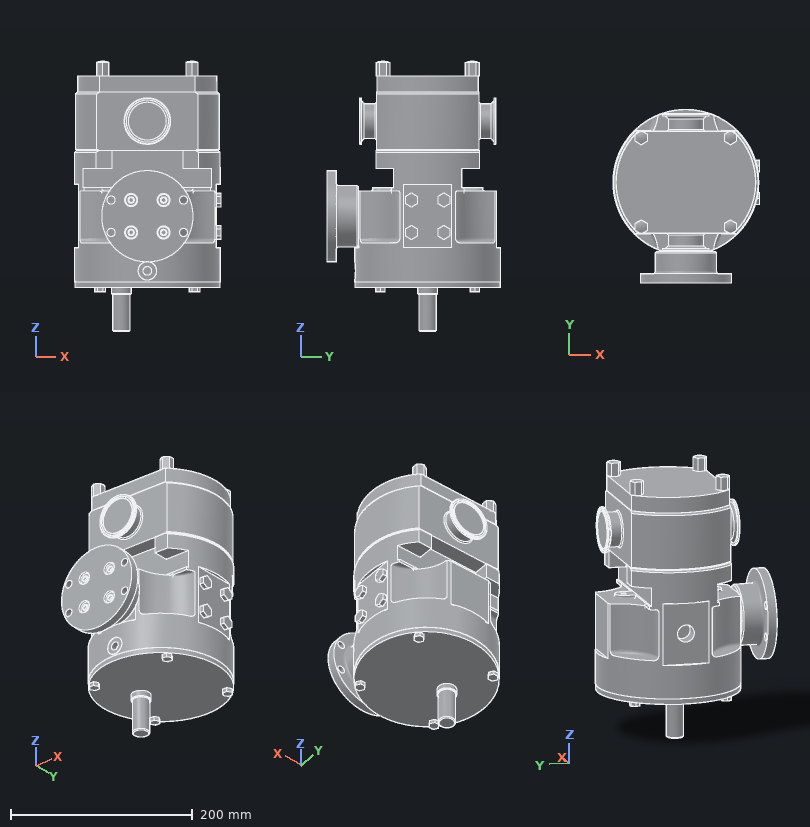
import cadquery as cq
import math

BODY_R = 80.5
PLATE_R = 80.0
HOUSING_R = 79.5
COVER_R = 76.8

PLATE_TOP = 6.3
BASE_TOP = 44.0
BODY_TOP = 106.5
LEDGE_TOP = 110.2
SIDE_FLAT_TOP = 113.7
BAND_BOTTOM = 131.0
BAND_TOP = 151.0
GROOVE_TOP = 152.0
HOUSING_TOP = 215.5
COVER_TOP = 233.0
NUT_TOP = 249.5
BAND_CHAMFER = 2.0
HOUSING_CHAMFER = 2.5
GROOVE_R = BODY_R - BAND_CHAMFER

FLAT_HALF = 76.0
BAND_HALF = 57.2
HOUSING_HALF = 56.5
COVER_HALF = 56.0
NECK_HALF = 37.8
LEDGE_HALF = 40.0
LEDGE_FOOT_FILLET = 1.8
WINDOW_HALF = 39.0

POCKET_CENTER = 79.0
POCKET_R = 48.5
POCKET_FLOOR = 49.0
POCKET_FILLET = 5.5
POCKET_CEILING_FILLET = 2.5

PAD_Y = 51.0
PAD_R = 9.8
PAD_HOLE_R = 3.0
PAD_HOLE_DEPTH = 6.0

SIDE_Z = 78.5
SIDE_BOLT_OFFSET = 18.0
SIDE_BOLT_FLATS = 13.5
SIDE_BOLT_HEIGHT = 5.5
SIDE_HOLE_R = 9.5
SIDE_HOLE_DEPTH = 18.0

HUB_R = 34.0
HUB_CHAMFER = 1.8
FLANGE_R = 50.3
FLANGE_FACE = 111.0
FLANGE_THICKNESS = 10.5
HUB_FILLET = 2.7
FLANGE_HOLE_R = 4.5
FLANGE_HOLE_X = 40.0
SCREW_BORE_R = 7.0
SCREW_BORE_DEPTH = 7.5
SCREW_HEAD_R = 6.3
SCREW_HEAD_HEIGHT = 5.7
SOCKET_R = 2.7
SOCKET_CHAMFER = 1.0
SOCKET_DEPTH = 3.5

PORT_Z = 183.5
PORT_NECK_R = 19.5
PORT_RIM_R = 25.5
PORT_FACE = 75.3
PORT_RIM_THICKNESS = 2.5
PORT_RIM_CHAMFER = 0.5
PORT_TAPER = 3.0
PORT_TAPER_R = 22.5
PORT_WELD = 1.5
SEAL_GROOVE_R = 23.2
SEAL_GROOVE_INNER_R = 20.8
SEAL_GROOVE_DEPTH = 1.0

DRAIN_Z = 18.5
DRAIN_SPOT_R = 10.0
DRAIN_SPOT_DEPTH = 0.75
DRAIN_HOLE_R = 4.8
DRAIN_HOLE_DEPTH = 9.0

SHAFT_X = -28.5
SHAFT_R = 9.68
SHAFT_END = -48.2
SHAFT_CHAMFER = 1.2
COLLAR_R = 11.0
COLLAR_LENGTH = 7.5
COLLAR_CHAMFER = 1.0

NUT_OFFSET = 49.0
NUT_FLATS = 13.5
NUT_DOME_R = 18.0
BASE_BOLT_OFFSET = 52.0
BASE_BOLT_FLATS = 10.5
BASE_BOLT_HEIGHT = 4.8

MARGIN = 0.3
CLEARANCE = 3.0
REACH = 119.0


def disc(radius, bottom, top):
    return cq.Workplane("XY").workplane(offset=bottom).circle(radius).extrude(top - bottom)


def slab(half_x, half_y, bottom, top):
    block = cq.Workplane("XY").workplane(offset=bottom)
    return block.rect(2 * half_x, 2 * half_y).extrude(top - bottom)


def hexagon(flats, bottom, top, turn=0):
    """Hexagonal prism on the Z axis, corners along X when turn is zero."""
    corners = flats / math.cos(math.pi / 6)
    prism = cq.Workplane("XY").workplane(offset=bottom).polygon(6, corners).extrude(top - bottom)
    return prism.rotate((0, 0, 0), (0, 0, 1), turn)


def facing_front(shape, height):
    """Move a shape built along +Z so that it points along -Y at the given height."""
    return shape.rotate((0, 0, 0), (1, 0, 0), 90).translate((0, 0, height))


def four_corners(offset):
    """Corner points of a square centred on the origin, half a side away from each axis."""
    return [(sx * offset, sy * offset) for sx in (-1, 1) for sy in (-1, 1)]


def corner_pocket(sx, sy):
    """Vertical scallop, closed by a rounded ceiling under the ledge and open above elsewhere."""
    closed = disc(POCKET_R, POCKET_FLOOR, BODY_TOP).faces("<Z").edges().fillet(POCKET_FILLET)
    closed = closed.faces(">Z").edges().fillet(POCKET_CEILING_FILLET)
    place = (sx * POCKET_CENTER, sy * POCKET_CENTER, 0)
    upper = disc(POCKET_R, BODY_TOP - POCKET_CEILING_FILLET, LEDGE_TOP).translate(place)
    under_ledge = slab(REACH, LEDGE_HALF, POCKET_FLOOR, LEDGE_TOP)
    return closed.translate(place).union(upper.cut(under_ledge))


def ledge():
    """Step around the neck foot with a lubrication pad on each side, blended into the body top."""
    step = slab(REACH, LEDGE_HALF, BODY_TOP, LEDGE_TOP)
    for side in (-1, 1):
        pad = disc(PAD_R, BODY_TOP, LEDGE_TOP).translate((0, side * PAD_Y, 0))
        web = slab(PAD_R, PAD_Y / 2, BODY_TOP, LEDGE_TOP).translate((0, side * PAD_Y / 2, 0))
        step = step.union(pad).union(web)
    step = step.union(slab(REACH, REACH, BASE_TOP, BODY_TOP))

    box_x = REACH - CLEARANCE
    box_y = PAD_Y + PAD_R
    foot_edges = cq.selectors.BoxSelector(
        (-box_x, -box_y, BODY_TOP - MARGIN),
        (box_x, box_y, BODY_TOP + MARGIN))
    step = step.edges(foot_edges).fillet(LEDGE_FOOT_FILLET)
    return step.intersect(disc(BODY_R, BASE_TOP, LEDGE_TOP))


def gearbox():
    lower = disc(PLATE_R, 0, PLATE_TOP).union(disc(BODY_R, PLATE_TOP, BASE_TOP)).union(ledge())
    flange_flats = disc(BODY_R + CLEARANCE, BASE_TOP, BODY_TOP)
    flange_flats = flange_flats.cut(slab(REACH, FLAT_HALF, BASE_TOP, BODY_TOP))
    lower = lower.cut(flange_flats)
    for sx, sy in four_corners(1):
        lower = lower.cut(corner_pocket(sx, sy))

    neck = disc(BODY_R, BODY_TOP, BAND_BOTTOM).intersect(slab(REACH, NECK_HALF, BODY_TOP, BAND_BOTTOM))
    pad_holes = cq.Workplane("XY").workplane(offset=LEDGE_TOP)
    pad_holes = pad_holes.pushPoints([(0, -PAD_Y), (0, PAD_Y)]).circle(PAD_HOLE_R).extrude(-PAD_HOLE_DEPTH)
    body = lower.union(neck).cut(pad_holes)

    side_flats = disc(BODY_R + CLEARANCE, BASE_TOP, SIDE_FLAT_TOP)
    side_flats = side_flats.cut(slab(FLAT_HALF, REACH, BASE_TOP, SIDE_FLAT_TOP))
    side_hole = cq.Workplane("YZ").workplane(offset=-FLAT_HALF).center(0, SIDE_Z)
    side_hole = side_hole.circle(SIDE_HOLE_R).extrude(SIDE_HOLE_DEPTH)
    return body.cut(side_flats).cut(side_hole)


def head():
    band = disc(BODY_R, BAND_BOTTOM, BAND_TOP).faces(">Z").edges().chamfer(BAND_CHAMFER)
    band = band.intersect(slab(REACH, BAND_HALF, BAND_BOTTOM, BAND_TOP))
    window = slab(WINDOW_HALF, REACH, BAND_BOTTOM, BAND_TOP)
    window = window.cut(slab(REACH, NECK_HALF, BAND_BOTTOM, BAND_TOP))
    band = band.cut(window)

    housing = disc(GROOVE_R, BAND_TOP, GROOVE_TOP)
    barrel = disc(HOUSING_R, GROOVE_TOP, HOUSING_TOP)
    housing = housing.union(barrel.faces(">Z").edges().chamfer(HOUSING_CHAMFER))
    housing = housing.intersect(slab(REACH, HOUSING_HALF, BAND_TOP, HOUSING_TOP))

    cover = disc(COVER_R, HOUSING_TOP, COVER_TOP)
    cover = cover.intersect(slab(REACH, COVER_HALF, HOUSING_TOP, COVER_TOP))
    return band.union(housing).union(cover)


def port():
    """Clamp ferrule along +Z from the axis of the head, with a seal groove in its closed face."""
    taper_end = PORT_FACE - PORT_RIM_THICKNESS
    taper_start = taper_end - PORT_TAPER
    profile = [
        (0, 0),
        (PORT_NECK_R + PORT_WELD, 0),
        (PORT_NECK_R + PORT_WELD, HOUSING_HALF),
        (PORT_NECK_R, HOUSING_HALF + PORT_WELD),
        (PORT_NECK_R, taper_start),
        (PORT_TAPER_R, taper_end),
        (PORT_RIM_R, taper_end),
        (PORT_RIM_R, PORT_FACE - PORT_RIM_CHAMFER),
        (PORT_RIM_R - PORT_RIM_CHAMFER, PORT_FACE),
        (0, PORT_FACE),
    ]
    ferrule = cq.Workplane("XZ").polyline(profile).close().revolve(360, (0, 0, 0), (0, 1, 0))
    groove = cq.Workplane("XY").workplane(offset=PORT_FACE)
    groove = groove.circle(SEAL_GROOVE_R).circle(SEAL_GROOVE_INNER_R).extrude(-SEAL_GROOVE_DEPTH)
    return ferrule.cut(groove)


def mounting_flange():
    back = FLANGE_FACE - FLANGE_THICKNESS
    hub = disc(HUB_R, FLAT_HALF, back).faces("<Z").edges().chamfer(HUB_CHAMFER)
    flange = hub.union(disc(FLANGE_R, back, FLANGE_FACE))
    hub_edges = flange.edges(cq.selectors.RadiusNthSelector(1))
    flange = hub_edges.edges(">Z").fillet(HUB_FILLET)

    bolts = four_corners(SIDE_BOLT_OFFSET)
    through = [(sx * FLANGE_HOLE_X, sy * SIDE_BOLT_OFFSET) for sx, sy in four_corners(1)]
    face = cq.Workplane("XY").workplane(offset=FLANGE_FACE)
    flange = flange.cut(face.pushPoints(through).circle(FLANGE_HOLE_R).extrude(-FLANGE_THICKNESS))
    flange = flange.cut(face.pushPoints(bolts).circle(SCREW_BORE_R).extrude(-SCREW_BORE_DEPTH))

    floor = FLANGE_FACE - SCREW_BORE_DEPTH
    screw = disc(SCREW_HEAD_R, floor, floor + SCREW_HEAD_HEIGHT)
    screw = screw.faces(">Z").workplane().hole(2 * SOCKET_R, SOCKET_DEPTH)
    screw = screw.faces(">Z").edges(cq.selectors.RadiusNthSelector(0)).chamfer(SOCKET_CHAMFER)
    for x, y in bolts:
        flange = flange.union(screw.translate((x, y, 0)))
    return flange


def shaft():
    collar = disc(COLLAR_R, -COLLAR_LENGTH, 0).faces("<Z").chamfer(COLLAR_CHAMFER)
    journal = disc(SHAFT_R, SHAFT_END, 0).faces("<Z").chamfer(SHAFT_CHAMFER)
    return collar.union(journal).translate((SHAFT_X, 0, 0))


def cap_nut():
    nut = hexagon(NUT_FLATS, COVER_TOP, NUT_TOP, turn=30)
    dome = cq.Workplane("XY").sphere(NUT_DOME_R).translate((0, 0, NUT_TOP - NUT_DOME_R))
    return nut.intersect(dome)


def drain():
    spot = disc(DRAIN_SPOT_R, BODY_R - DRAIN_SPOT_DEPTH, BODY_R + CLEARANCE)
    return spot.union(disc(DRAIN_HOLE_R, BODY_R - DRAIN_HOLE_DEPTH, BODY_R))


result = gearbox().union(head())
front_port = facing_front(port(), PORT_Z)
result = result.union(front_port).union(front_port.mirror("XZ"))
result = result.union(facing_front(mounting_flange(), SIDE_Z)).union(shaft())
result = result.cut(facing_front(drain(), DRAIN_Z))

for x, y in four_corners(NUT_OFFSET):
    result = result.union(cap_nut().translate((x, y, 0)))
for x, y in four_corners(BASE_BOLT_OFFSET):
    result = result.union(hexagon(BASE_BOLT_FLATS, -BASE_BOLT_HEIGHT, 0).translate((x, y, 0)))

side_bolt = hexagon(SIDE_BOLT_FLATS, FLAT_HALF, FLAT_HALF + SIDE_BOLT_HEIGHT)
side_bolt = side_bolt.rotate((0, 0, 0), (0, 1, 0), 90)
for y, z in four_corners(SIDE_BOLT_OFFSET):
    result = result.union(side_bolt.translate((0, y, SIDE_Z + z)))